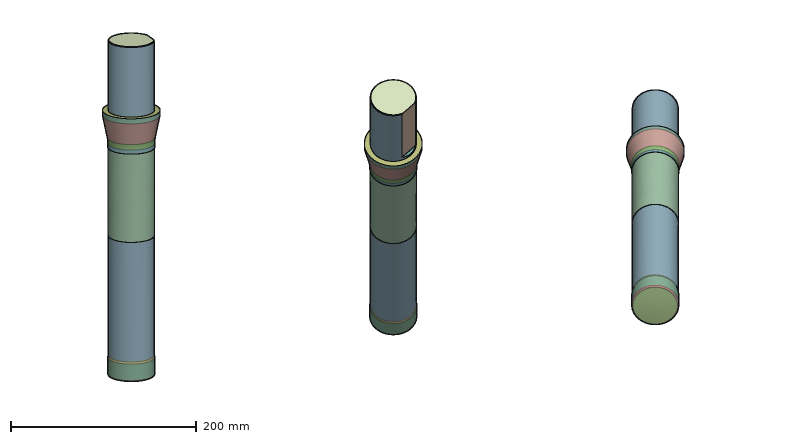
import cadquery as cq

rod_length = 381.0
rod_radius = 50.0 / 2
band_radius = 51.0 / 2
band_top = 21.5
band_upper_chamfer_height = 2.3
top_chamfer = 0.8
dome_height = 1.0
bottom_rounding = 1.5
flat_distance = 22.5
flat_start = 306.3

sleeve_bottom = 159.2
sleeve_top = 301.5
rim_height = 5.7
flare_bottom = 270.5
ring_top = 264.0
ring_bottom = 259.5
rim_radius = 62.5 / 2
neck_radius = 52.2 / 2
ring_radius = 51.0 / 2
grip_radius = 50.5 / 2
sleeve_end_radius = 50.3 / 2


def make_rod():
    """Round rod with a domed lower end, a wider lower band and a flat on its upper part."""
    dome_radius = band_radius - bottom_rounding
    body = (
        cq.Workplane("XZ")
        .moveTo(0, 0)
        .threePointArc((dome_radius / 2, dome_height / 4), (dome_radius, dome_height))
        .radiusArc((band_radius, dome_height + bottom_rounding), -bottom_rounding)
        .lineTo(band_radius, band_top)
        .lineTo(rod_radius, band_top + band_upper_chamfer_height)
        .lineTo(rod_radius, rod_length - top_chamfer)
        .lineTo(rod_radius - top_chamfer, rod_length)
        .lineTo(0, rod_length)
        .close()
        .revolve(360, (0, 0, 0), (0, 1, 0))
    )
    flat_depth = rod_radius - flat_distance
    flat_cutter = (
        cq.Workplane("YZ")
        .moveTo(rod_radius, flat_start - flat_depth)
        .lineTo(flat_distance, flat_start)
        .lineTo(flat_distance, rod_length)
        .lineTo(rod_radius, rod_length)
        .close()
        .extrude(rod_radius, both=True)
    )
    return body.cut(flat_cutter)


def make_sleeve():
    """Thin sleeve fitted around the rod, flaring to a rim at its top."""
    return (
        cq.Workplane("XZ")
        .moveTo(rod_radius, sleeve_bottom)
        .lineTo(sleeve_end_radius, sleeve_bottom)
        .lineTo(grip_radius, ring_bottom)
        .lineTo(ring_radius, ring_bottom)
        .lineTo(ring_radius, ring_top)
        .tangentArcPoint((neck_radius, flare_bottom), relative=False)
        .lineTo(rim_radius, sleeve_top - rim_height)
        .lineTo(rim_radius, sleeve_top)
        .lineTo(rod_radius, sleeve_top)
        .close()
        .revolve(360, (0, 0, 0), (0, 1, 0))
    )


rod = make_rod()
sleeve = make_sleeve()
result = cq.Compound.makeCompound([rod.val(), sleeve.val()])